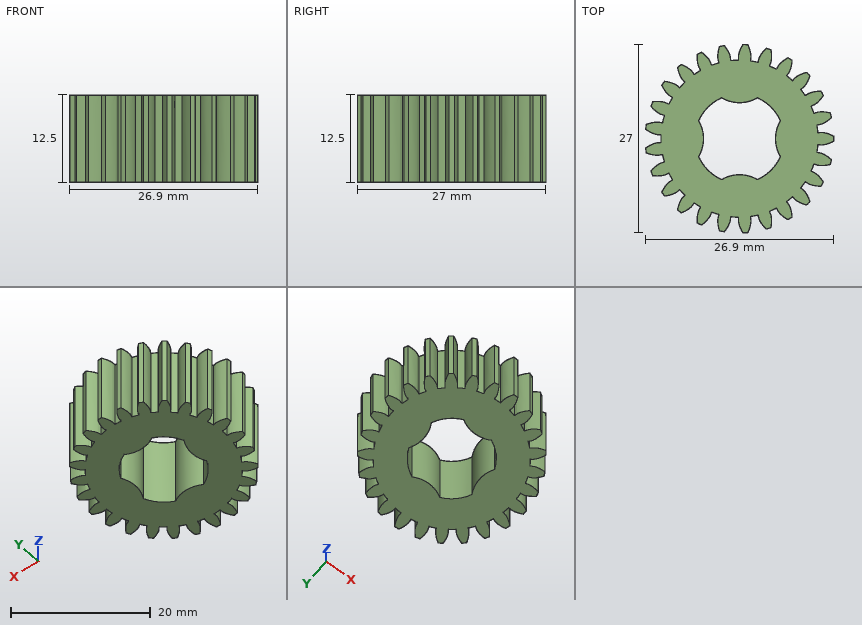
import cadquery as cq
import math


TEETH = 25
PRESSURE_ANGLE = math.radians(20)
ADDENDUM = 1.0
DEDENDUM = 1.25
WIDTH_ACROSS_Y = 26.98
FACE_WIDTH = 12.5

BORE_RADIUS = 6.37
LOBE_COUNT = 4
LOBE_RADIUS = 5.0
LOBE_CLEARANCE = 5.13

FLANK_POINTS = 8


def involute(angle):
    return math.tan(angle) - angle


def half_angle_at(radius_ratio):
    """Half the angle a tooth spans at a radius given as a multiple of the base radius."""
    return BASE_HALF_ANGLE - involute(math.acos(1 / radius_ratio))


TOOTH_PITCH = 2 * math.pi / TEETH
BASE_HALF_ANGLE = TOOTH_PITCH / 4 + involute(PRESSURE_ANGLE)
TIP_RATIO = (TEETH + 2 * ADDENDUM) / (TEETH * math.cos(PRESSURE_ANGLE))
TIP_HALF_ANGLE = half_angle_at(TIP_RATIO)

TOP_CORNER_ANGLE = math.floor(TEETH / 4) * TOOTH_PITCH + TIP_HALF_ANGLE

TIP_RADIUS = WIDTH_ACROSS_Y / 2 / math.sin(TOP_CORNER_ANGLE)
MODULE = 2 * TIP_RADIUS / (TEETH + 2 * ADDENDUM)
PITCH_RADIUS = TEETH * MODULE / 2
BASE_RADIUS = PITCH_RADIUS * math.cos(PRESSURE_ANGLE)
ROOT_RADIUS = PITCH_RADIUS - DEDENDUM * MODULE


def polar(radius, angle):
    return (radius * math.cos(angle), radius * math.sin(angle))


def flank(center_angle, side):
    """Involute points from base circle to tip; side is -1 or +1 across the tooth."""
    points = []
    for i in range(FLANK_POINTS):
        ratio = 1 + (TIP_RATIO - 1) * i / (FLANK_POINTS - 1)
        points.append(polar(BASE_RADIUS * ratio, center_angle + side * half_angle_at(ratio)))
    return points


def gear_blank():
    """Toothed outline extruded to the face width."""
    root_start = polar(ROOT_RADIUS, -BASE_HALF_ANGLE)
    outline = cq.Workplane("XY").moveTo(*root_start)
    for tooth in range(TEETH):
        center = tooth * TOOTH_PITCH
        rising = flank(center, -1)
        falling = flank(center, 1)[::-1]
        next_root = center + TOOTH_PITCH - BASE_HALF_ANGLE
        outline = (
            outline.lineTo(*rising[0])
            .spline(rising[1:], includeCurrent=True)
            .threePointArc(polar(TIP_RADIUS, center), falling[0])
            .spline(falling[1:], includeCurrent=True)
            .lineTo(*polar(ROOT_RADIUS, center + BASE_HALF_ANGLE))
            .threePointArc(polar(ROOT_RADIUS, center + TOOTH_PITCH / 2), polar(ROOT_RADIUS, next_root))
        )
    return outline.close().extrude(FACE_WIDTH)


def bore():
    """Round bore with a convex lobe left standing on each axis direction."""
    lobes = (
        cq.Workplane("XY")
        .polarArray(LOBE_CLEARANCE + LOBE_RADIUS, 0, 360, LOBE_COUNT)
        .circle(LOBE_RADIUS)
        .extrude(FACE_WIDTH)
    )
    return cq.Workplane("XY").circle(BORE_RADIUS).extrude(FACE_WIDTH).cut(lobes)


result = gear_blank().cut(bore())